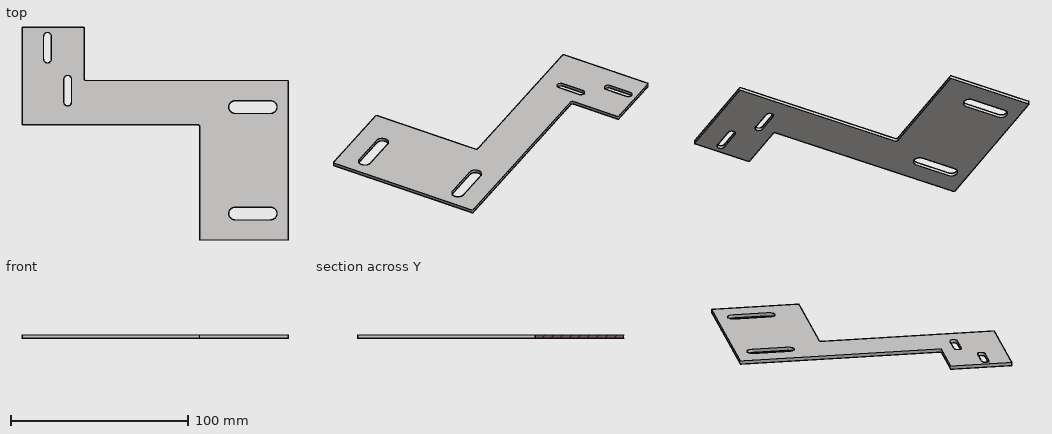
import cadquery as cq

LENGTH = 150.0
WIDTH = 120.0
THICKNESS = 2.0
OUTER_CORNER_RADIUS = 0.35
INNER_CORNER_RADIUS = 1.0

TAB_WIDTH = 35.0
TAB_RISE = 30.0
ARM_WIDTH = 25.0
LEG_WIDTH = 50.0

LEG_SLOT_LENGTH = 27.1
LEG_SLOT_WIDTH = 7.0
LEG_SLOT_END_OFFSET = 15.0
LEG_SLOT_SPACING = 60.0
LEG_SLOT_EDGE_OFFSET = 20.0

TAB_SLOT_LENGTH = 17.1
TAB_SLOT_WIDTH = 4.2
TAB_SLOT_EDGE_OFFSET = 14.25
TAB_SLOT_TOP_GAP = 3.0
TAB_SLOT_STEP_X = 11.4
TAB_SLOT_STEP_Y = 24.2

ARM_TOP = WIDTH - TAB_RISE
ARM_BOTTOM = ARM_TOP - ARM_WIDTH
LEG_LEFT = LENGTH - LEG_WIDTH


def make_plate():
    """Z-shaped flat plate with small outer corner rounds and larger inner ones."""
    inner_corners = [(LEG_LEFT, ARM_BOTTOM), (TAB_WIDTH, ARM_TOP)]
    outline = [
        (0, ARM_BOTTOM),
        inner_corners[0],
        (LEG_LEFT, 0),
        (LENGTH, 0),
        (LENGTH, ARM_TOP),
        inner_corners[1],
        (TAB_WIDTH, WIDTH),
        (0, WIDTH),
    ]
    plate = cq.Workplane("XY").polyline(outline).close().extrude(THICKNESS)
    for x, y in outline:
        radius = INNER_CORNER_RADIUS if (x, y) in inner_corners else OUTER_CORNER_RADIUS
        upright_edge = cq.selectors.NearestToPointSelector((x, y, THICKNESS / 2))
        plate = plate.edges("|Z").edges(upright_edge).fillet(radius)
    return plate


def make_slots(centers, length, width, angle):
    """Round-ended cutters running through the plate, turned by angle from X."""
    return cq.Workplane("XY").pushPoints(centers).slot2D(length, width, angle).extrude(THICKNESS)


def make_leg_slots():
    """Pair of slots in the leg, one above the other."""
    x = LENGTH - LEG_SLOT_EDGE_OFFSET
    centers = [(x, LEG_SLOT_END_OFFSET + i * LEG_SLOT_SPACING) for i in range(2)]
    return make_slots(centers, LEG_SLOT_LENGTH, LEG_SLOT_WIDTH, 0)


def make_tab_slots():
    """Pair of slots in the tab, the second stepped right and down from the first."""
    first_x = TAB_SLOT_EDGE_OFFSET
    first_y = WIDTH - TAB_SLOT_TOP_GAP - TAB_SLOT_LENGTH / 2
    centers = [(first_x + i * TAB_SLOT_STEP_X, first_y - i * TAB_SLOT_STEP_Y) for i in range(2)]
    return make_slots(centers, TAB_SLOT_LENGTH, TAB_SLOT_WIDTH, 90)


result = make_plate().cut(make_leg_slots()).cut(make_tab_slots())